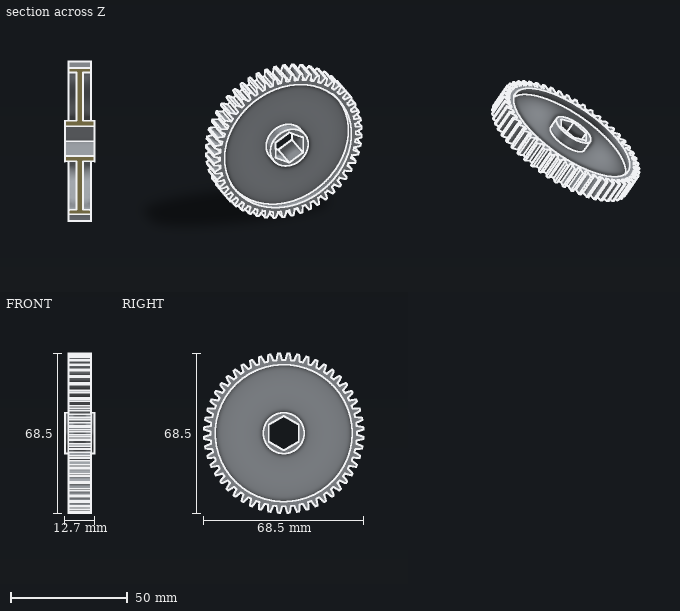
import cadquery as cq
import math

tooth_count = 52
outer_diameter = 68.6
dedendum_factor = 1.25
tip_thickness = 1.0
pitch_thickness = 1.8
root_thickness = 2.4
rim_width = 9.7
hub_length = 12.7
hub_diameter = 17.55
hex_across_flats = 12.7
recess_diameter = 58.8
recess_depth = 3.4

gear_module = outer_diameter / (tooth_count + 2)
outer_radius = outer_diameter / 2
pitch_radius = gear_module * tooth_count / 2
root_radius = pitch_radius - dedendum_factor * gear_module
tooth_pitch = 2 * math.pi / tooth_count


def polar(radius, angle):
    return (radius * math.cos(angle), radius * math.sin(angle))


def half_angle(thickness, radius):
    """Half the angle spanned by a tooth of this thickness at a radius."""
    return math.asin(thickness / 2 / radius)


def centred_sketch(width):
    """YZ sketch plane from which an extrusion of this width is centred on the origin."""
    return cq.Workplane("YZ", origin=(-width / 2, 0, 0))


def centred_disc(diameter, width):
    return centred_sketch(width).circle(diameter / 2).extrude(width)


def tooth_blank():
    """Toothed disc with arc flanks and a tooth gap on each of the Y and Z axes."""
    tip_half_angle = half_angle(tip_thickness, outer_radius)
    pitch_half_angle = half_angle(pitch_thickness, pitch_radius)
    root_half_angle = half_angle(root_thickness, root_radius)

    outline = centred_sketch(rim_width).moveTo(*polar(root_radius, tooth_pitch / 2 - root_half_angle))
    for tooth in range(tooth_count):
        middle = (tooth + 0.5) * tooth_pitch
        next_gap = middle + tooth_pitch / 2
        next_root = middle + tooth_pitch - root_half_angle
        outline = (
            outline.threePointArc(
                polar(pitch_radius, middle - pitch_half_angle),
                polar(outer_radius, middle - tip_half_angle),
            )
            .threePointArc(polar(outer_radius, middle), polar(outer_radius, middle + tip_half_angle))
            .threePointArc(
                polar(pitch_radius, middle + pitch_half_angle),
                polar(root_radius, middle + root_half_angle),
            )
            .threePointArc(polar(root_radius, next_gap), polar(root_radius, next_root))
        )
    return outline.close().extrude(rim_width)


def face_recesses():
    """Two equal discs that thin the web from both faces of the rim."""
    web_width = rim_width - 2 * recess_depth
    return centred_disc(recess_diameter, rim_width).cut(centred_disc(recess_diameter, web_width))


def hub():
    return centred_disc(hub_diameter, hub_length)


def hex_bore():
    """Hexagonal through bore with two corners on the Z axis."""
    across_corners = hex_across_flats / math.cos(math.pi / 6)
    bore = centred_sketch(hub_length).polygon(6, across_corners).extrude(hub_length)
    return bore.rotate((0, 0, 0), (1, 0, 0), 90)


result = tooth_blank().cut(face_recesses()).union(hub()).cut(hex_bore())